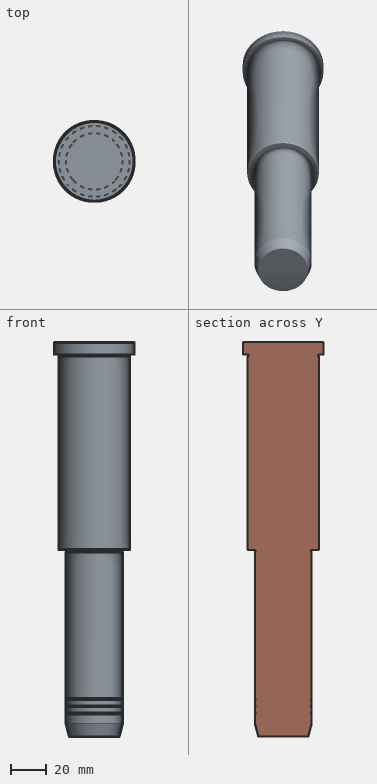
import cadquery as cq
import math

total_length = 220.0
head_diameter = 45.0
head_height = 7.0
shank_diameter = 40.0
shank_length = 109.0
guide_diameter = 32.0

head_chamfer = 0.5
shank_chamfer = 0.5
tip_fillet = 0.5

tip_height = 7.5
tip_angle = 15.0

groove_depth = 0.5
lubrication_width = 1.0
lubrication_count = 3
lubrication_pitch = 4.0
lowest_lubrication_z = 13.0
relief_width = 1.2

head_bottom = total_length - head_height
shank_bottom = head_bottom - shank_length
head_radius = head_diameter / 2
shank_radius = shank_diameter / 2
guide_radius = guide_diameter / 2
tip_radius = guide_radius - tip_height * math.tan(math.radians(tip_angle))


def revolve_about_z(points):
    """Revolve a closed outline of (x, z) points a full turn about Z."""
    outline = cq.Workplane("XZ").polyline(points).close()
    return outline.revolve(360, (0, 0, 0), (0, 1, 0))


def pin_body():
    """Guide, shank and head, with the rim of the tip rounded."""
    profile = [
        (0, 0),
        (-tip_radius, 0),
        (-guide_radius, tip_height),
        (-guide_radius, shank_bottom),
        (-shank_radius + shank_chamfer, shank_bottom),
        (-shank_radius, shank_bottom + shank_chamfer),
        (-shank_radius, head_bottom),
        (-head_radius, head_bottom),
        (-head_radius, total_length - head_chamfer),
        (-head_radius + head_chamfer, total_length),
        (0, total_length),
    ]
    return revolve_about_z(profile).faces("<Z").edges().fillet(tip_fillet)


def v_groove(center_z, width, outer_radius):
    """Triangular ring that cuts a V groove into a cylinder of the given radius."""
    section = [
        (-outer_radius, center_z - width / 2),
        (-outer_radius + groove_depth, center_z),
        (-outer_radius, center_z + width / 2),
    ]
    return revolve_about_z(section)


result = pin_body()

for corner_z, radius in [(head_bottom, shank_radius), (shank_bottom, guide_radius)]:
    result = result.cut(v_groove(corner_z - relief_width / 2, relief_width, radius))

for index in range(lubrication_count):
    groove_z = lowest_lubrication_z + index * lubrication_pitch
    result = result.cut(v_groove(groove_z, lubrication_width, guide_radius))